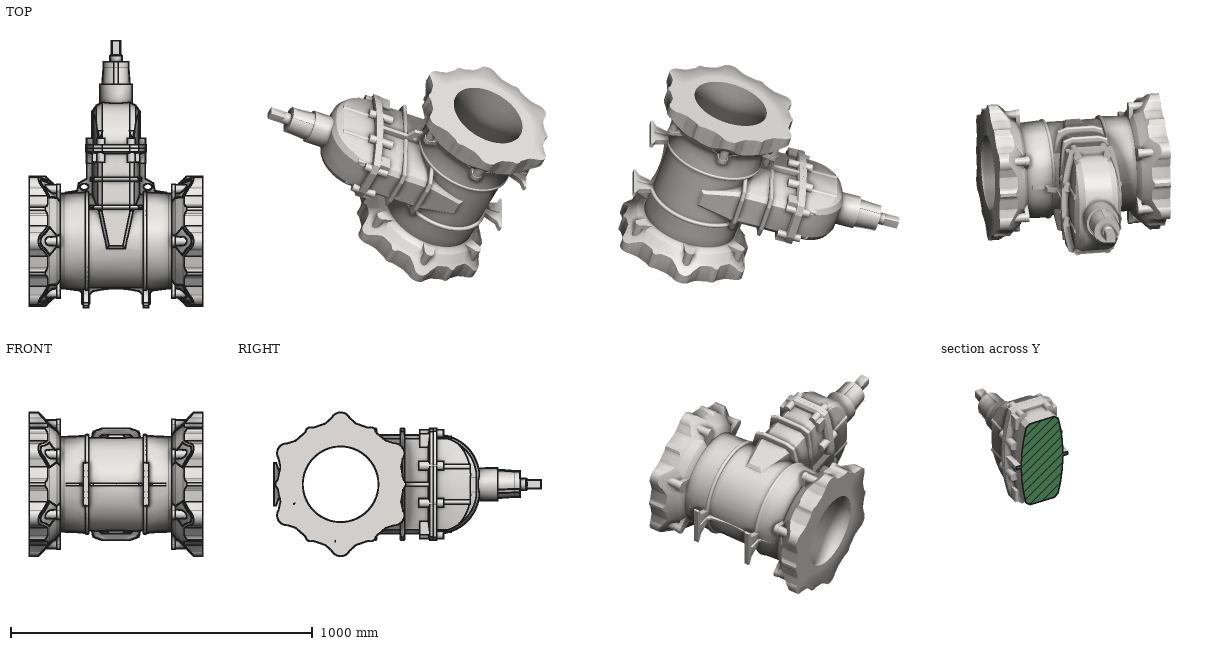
import cadquery as cq
import math


length = 576.0
half_length = length / 2
bore_dia = 250.0
seat_radius = 155.0
bead_radius = 165.5
bead_foot_radius = 161.0
bead_inner_x = 90.0
bead_outer_x = 102.0
barrel_inner_radius = 162.0
barrel_outer_radius = 158.0
barrel_end_x = 173.0

lobe_count = 6
lobe_pitch = 360.0 / lobe_count
first_lobe_angle = 90.0
lobe_tip_radius = 238.53
lobe_flank_radius = 223.0
lobe_flank_angle = 7.5
valley_radius = 208.0
valley_start_angle = 14.0
valley_end_angle = 24.5
bump_foot_radius = 209.5
bump_foot_angle = 26.0
bump_radius = 215.5
bump_edge_angle = 28.5

cone_offset = 19.0
rim_width = 8.0
rim_height = 2.0
ring_inner_x = 184.0
ring_outer_x = 197.0
ring_root_radius = 162.0
stud_circle_radius = 199.0
stud_radius = 14.5
ear_radius = 16.5
ear_foot_half = 22.0
collar_x = 221.0
collar_end_radius = 180.5
pocket_wide_half = 48.0
pocket_narrow_half = 19.0

neck_half_x = 79.0
neck_half_z = 164.0
neck_flat_half = 45.0
neck_corner_x = 61.0
neck_corner_z = 151.0
neck_taper_y = 154.0
neck_bottom_y = 100.0
neck_bottom_half_x = 57.0
tongue_tip_y = -25.0
tongue_tip_half_x = 31.0
tongue_chamfer = 10.0

bead_half_z = 186.0
bead_thickness = 14.0
upper_bead_y = 205.0
upper_bead_half_x = 86.0
lower_bead_y = 112.0
lower_bead_half_x = 99.0
shoulder_x = 75.0
shoulder_drop = 11.0
bead_rounding = 6.0

body_flange_y = 296.0
flange_joint_y = 307.0
bonnet_flange_y = 319.0
flange_half_x = 101.0
flange_step = 0.5

flange_underside_y = 290.0
flange_underside_taper = 60.0

dome_top_y = 460.0
dome_corner_radius = 140.0
dome_bevel_stations = ((45.0, 0.0), (65.0, 10.0), (80.0, 32.0))

tower_radius = 54.0
tower_base_y = 440.0
tower_top_y = 520.0
taper_top_y = 595.0
taper_base_radius = 46.5
taper_top_radius = 42.3
taper_end_y = 576.0
rib_width = 14.0
rib_height = 2.5
rib_count = 3
stem_collar_dia = 40.0
stem_collar_top_y = 618.0
stem_collar_chamfer = 4.0
stem_square = 31.0
stem_top_y = 664.5

bolt_head_radius = 13.0
bolt_head_top_y = 341.0
nut_bottom_y = 262.0
end_bolt = (50.0, 168.0)
side_bolt = (83.0, 61.5)
side_bolt_radius = 15.0
side_nut_bottom_y = 258.5
ridge_radius = 8.5
side_ridge_x = 72.0
side_ridge_z = 58.5
side_ridge_top_y = 430.0
end_ridge_z = 150.0
end_ridge_top_y = 366.0
lug_x = (45.0, 78.0)
lug_z = (123.0, 168.0)

rib_root_y = 140.0
rib_end_x = 168.0
top_rib_thickness = 13.0
top_rib_end_y = 161.0
eye_lug_foot = (129.0, 167.0)
eye_lug_shoulder = (124.0, 192.0)
eye_lug_top_y = 207.0
top_rib_half_x = 97.5
eye_centre = (105.5, 180.0)
eye_size = (28.0, 20.0)
bottom_rib_thickness = 8.5
bottom_rib_end_y = -158.0
bottom_rib_middle_y = -157.0
bottom_rib_arch = (40.0, -160.0)
bottom_rib_arch_end = (76.0, -166.0)
foot_stem_x = (87.0, 114.0)
foot_stem_root_y = (-176.0, -170.0)
foot_stem_fillet_end = (120.0, -164.0)
foot_stem_shoulder_y = -206.0
foot_stem_bottom_y = -212.0
foot_waist = (-204.0, 45.0)
foot_root_half_z = 15.0
foot_y = -221.5
foot_half_z = 71.0
foot_x = (91.0, 108.0)
foot_edge_y = -214.0


def polar(radius, angle_deg):
    angle = math.radians(angle_deg)
    return (radius * math.cos(angle), radius * math.sin(angle))


def lobe_angles():
    return [first_lobe_angle + i * lobe_pitch for i in range(lobe_count)]


def y_cylinder(radius, x, z, y_start, y_end):
    """Cylinder along Y between two levels."""
    return cq.Workplane("XZ", origin=(x, y_start, z)).circle(radius).extrude(y_start - y_end)


def turned_about_x(points):
    """Solid of revolution about the pipe axis from (x, radius) points."""
    return cq.Workplane("XY").polyline(points).close().revolve(360, (0, 0, 0), (1, 0, 0))


def make_barrel():
    """Solid barrel with a rounded bead on each side of the middle."""
    crest_x = (bead_inner_x + bead_outer_x) / 2
    half = (
        cq.Workplane("XY")
        .lineTo(-half_length, 0)
        .lineTo(-half_length, barrel_outer_radius)
        .lineTo(-barrel_end_x, barrel_outer_radius)
        .lineTo(-bead_outer_x, barrel_inner_radius)
        .threePointArc((-crest_x, bead_radius), (-bead_inner_x, bead_foot_radius))
        .lineTo(-bead_inner_x, seat_radius)
        .lineTo(0, seat_radius)
        .close()
        .revolve(360, (0, 0, 0), (1, 0, 0))
    )
    return half.union(half.mirror("YZ"))


def flange_back_cone(offset):
    return turned_about_x([
        (-half_length, 0),
        (-half_length, half_length - offset),
        (-ring_outer_x, ring_outer_x - offset),
        (-ring_outer_x, 0),
    ])


def flange_outline(with_bumps=True):
    """Wavy flange outline: six lobes, with or without a small bump midway between neighbours."""
    first = lobe_angles()[0]
    outline = cq.Workplane("YZ", origin=(-half_length, 0, 0))
    outline = outline.moveTo(*polar(lobe_flank_radius, first - lobe_flank_angle))
    for angle in lobe_angles():
        following = angle + lobe_pitch
        bump = angle + lobe_pitch / 2
        outline = (
            outline
            .threePointArc(polar(lobe_tip_radius, angle), polar(lobe_flank_radius, angle + lobe_flank_angle))
            .lineTo(*polar(valley_radius, angle + valley_start_angle))
        )
        valley_end = polar(valley_radius, following - valley_start_angle)
        if with_bumps:
            outline = (
                outline
                .lineTo(*polar(valley_radius, angle + valley_end_angle))
                .lineTo(*polar(bump_foot_radius, angle + bump_foot_angle))
                .lineTo(*polar(bump_radius, angle + bump_edge_angle))
                .threePointArc(polar(bump_radius, bump), polar(bump_radius, following - bump_edge_angle))
                .lineTo(*polar(bump_foot_radius, following - bump_foot_angle))
                .lineTo(*polar(valley_radius, following - valley_end_angle))
                .lineTo(*valley_end)
            )
        else:
            outline = outline.threePointArc(polar(valley_radius, bump), valley_end)
        outline = outline.lineTo(*polar(lobe_flank_radius, following - lobe_flank_angle))
    return outline.close()


def make_collar_sectors():
    """Raised collar behind the flange, relieved around every stud."""
    collar = turned_about_x([
        (-collar_x, 0),
        (-collar_x, collar_x - cone_offset),
        (-ring_outer_x, collar_end_radius),
        (-ring_outer_x, 0),
    ])
    relief = (
        cq.Workplane("XY", origin=(0, 0, seat_radius))
        .polyline([
            (-collar_x, -pocket_wide_half),
            (-collar_x, pocket_wide_half),
            (-ring_outer_x, pocket_narrow_half),
            (-ring_outer_x, -pocket_narrow_half),
        ])
        .close()
        .extrude(lobe_tip_radius - seat_radius)
    )
    for index in range(lobe_count):
        collar = collar.cut(relief.rotate((0, 0, 0), (1, 0, 0), index * lobe_pitch))
    return collar


def make_end_flange():
    """Flange at the -X end with its back cone, gland ring, studs and ears."""
    plate_depth = half_length - ring_outer_x
    plate = flange_outline().extrude(plate_depth)
    inside_rim = flange_outline(with_bumps=False).offset2D(-rim_width).extrude(plate_depth)
    recess = inside_rim.cut(flange_back_cone(cone_offset + rim_height))
    flange = plate.intersect(flange_back_cone(cone_offset)).cut(recess).union(make_collar_sectors())
    ring_plane = cq.Workplane("YZ", origin=(-ring_outer_x, 0, 0))
    ring_width = ring_outer_x - ring_inner_x
    ring = turned_about_x([
        (-ring_outer_x, 0),
        (-ring_outer_x, collar_end_radius),
        (-ring_inner_x, ring_root_radius),
        (-ring_inner_x, 0),
    ])
    flange = flange.union(ring)
    stud_points = [polar(stud_circle_radius, angle) for angle in lobe_angles()]
    stud_start_x = -(stud_circle_radius + 2 * stud_radius + cone_offset)
    studs = (
        cq.Workplane("YZ", origin=(stud_start_x, 0, 0))
        .pushPoints(stud_points)
        .circle(stud_radius)
        .extrude(-ring_inner_x - stud_start_x)
    )
    flange = flange.union(studs)
    ear = (
        ring_plane.center(0, stud_circle_radius).circle(ear_radius).extrude(ring_width)
        .union(
            ring_plane
            .polyline([
                (-ear_radius, stud_circle_radius),
                (ear_radius, stud_circle_radius),
                (ear_foot_half, barrel_outer_radius),
                (-ear_foot_half, barrel_outer_radius),
            ])
            .close()
            .extrude(ring_width)
        )
    )
    for index in range(lobe_count):
        flange = flange.union(ear.rotate((0, 0, 0), (1, 0, 0), index * lobe_pitch))
    return flange


def shouldered_slab(half_x, half_z, y_start, y_end, taper=0):
    """Slab across Y with sloping shoulders and bowed sides, optionally narrowing toward y_end."""
    shoulder_z = half_z - shoulder_drop
    flat_x = neck_flat_half
    return (
        cq.Workplane("XZ", origin=(0, max(y_start, y_end), 0))
        .moveTo(-flat_x, half_z)
        .lineTo(flat_x, half_z)
        .lineTo(shoulder_x, shoulder_z)
        .threePointArc((half_x, 0), (shoulder_x, -shoulder_z))
        .lineTo(flat_x, -half_z)
        .lineTo(-flat_x, -half_z)
        .lineTo(-shoulder_x, -shoulder_z)
        .threePointArc((-half_x, 0), (-shoulder_x, shoulder_z))
        .close()
        .extrude(abs(y_start - y_end), taper=taper)
    )


def bowed_section(y_start, y_end):
    """Flat front and back, bevelled corners and bowed sides."""
    return (
        cq.Workplane("XZ", origin=(0, y_start, 0))
        .moveTo(-neck_flat_half, neck_half_z)
        .lineTo(neck_flat_half, neck_half_z)
        .lineTo(neck_corner_x, neck_corner_z)
        .threePointArc((neck_half_x, 0), (neck_corner_x, -neck_corner_z))
        .lineTo(neck_flat_half, -neck_half_z)
        .lineTo(-neck_flat_half, -neck_half_z)
        .lineTo(-neck_corner_x, -neck_corner_z)
        .threePointArc((-neck_half_x, 0), (-neck_corner_x, neck_corner_z))
        .close()
        .extrude(y_start - y_end)
    )


def make_neck():
    taper = (
        cq.Workplane("XY", origin=(0, 0, -neck_half_z))
        .polyline([
            (-neck_bottom_half_x, neck_bottom_y),
            (neck_bottom_half_x, neck_bottom_y),
            (neck_half_x, neck_taper_y),
            (neck_half_x, body_flange_y),
            (-neck_half_x, body_flange_y),
            (-neck_half_x, neck_taper_y),
        ])
        .close()
        .extrude(2 * neck_half_z)
    )
    tongue = (
        cq.Workplane("XY", origin=(0, 0, -neck_half_z))
        .polyline([
            (-tongue_tip_half_x, tongue_tip_y),
            (tongue_tip_half_x, tongue_tip_y),
            (neck_bottom_half_x, neck_bottom_y),
            (-neck_bottom_half_x, neck_bottom_y),
        ])
        .close()
        .extrude(2 * neck_half_z)
        .faces("|Z")
        .edges("not >Y")
        .chamfer(tongue_chamfer)
    )
    return bowed_section(neck_bottom_y, body_flange_y).intersect(taper).union(tongue)


def make_neck_bead(half_x, y_centre):
    half = bead_thickness / 2
    slab = shouldered_slab(half_x, bead_half_z, y_centre - half, y_centre + half)
    return slab.faces("|Y").edges().fillet(bead_rounding)


def make_bonnet():
    bonnet = shouldered_slab(flange_half_x, bead_half_z, flange_joint_y, bonnet_flange_y)
    body_flange = shouldered_slab(
        flange_half_x - flange_step, bead_half_z - flange_step, body_flange_y, flange_joint_y
    )
    underside = shouldered_slab(
        flange_half_x - flange_step,
        bead_half_z - flange_step,
        body_flange_y,
        flange_underside_y,
        flange_underside_taper,
    )
    return bonnet.union(body_flange).union(underside).union(make_dome())


def rounded_square(inset):
    side = 2 * (neck_half_z - inset)
    return cq.Sketch().rect(side, side).vertices().fillet(dome_corner_radius - inset)


def make_dome():
    """Bonnet dome: a rounded square plate, bevelled toward its bowed sides."""
    centre_y = dome_top_y - neck_half_z
    flat_half_x = dome_bevel_stations[0][0]
    dome = (
        cq.Workplane("YZ", origin=(-flat_half_x, centre_y, 0))
        .placeSketch(rounded_square(0))
        .extrude(2 * flat_half_x)
    )
    for (near_x, near_inset), (far_x, far_inset) in zip(dome_bevel_stations, dome_bevel_stations[1:]):
        far_outline = rounded_square(far_inset).moved(cq.Location(cq.Vector(0, 0, far_x - near_x)))
        bevel = (
            cq.Workplane("YZ", origin=(near_x, centre_y, 0))
            .placeSketch(rounded_square(near_inset), far_outline)
            .loft()
        )
        dome = dome.union(bevel).union(bevel.mirror("YZ"))
    return dome.intersect(bowed_section(flange_joint_y, dome_top_y))


def make_tower():
    """Stem tower above the bonnet: cylinder, ribbed taper, collar and square."""
    tower = y_cylinder(tower_radius, 0, 0, tower_base_y, tower_top_y)

    def taper(extra):
        return (
            cq.Workplane("XY")
            .polyline([
                (0, tower_top_y),
                (taper_base_radius + extra, tower_top_y),
                (taper_top_radius + extra, taper_end_y),
                (taper_top_radius + extra, taper_top_y),
                (0, taper_top_y),
            ])
            .close()
            .revolve(360, (0, 0, 0), (0, 1, 0))
        )

    rib_slab = cq.Workplane("XY", origin=(0, tower_top_y, 0)).box(
        rib_width, taper_top_y - tower_top_y, tower_radius, centered=(True, False, False)
    )
    ribbed = taper(rib_height)
    tower = tower.union(taper(0))
    for index in range(rib_count):
        slab = rib_slab.rotate((0, 0, 0), (0, 1, 0), index * 360.0 / rib_count)
        tower = tower.union(ribbed.intersect(slab))
    stem_collar = (
        y_cylinder(stem_collar_dia / 2, 0, 0, taper_top_y, stem_collar_top_y)
        .faces(">Y")
        .chamfer(stem_collar_chamfer)
    )
    square = (
        cq.Workplane("XZ", origin=(0, stem_collar_top_y - stem_collar_chamfer, 0))
        .rect(stem_square, stem_square)
        .extrude(stem_collar_top_y - stem_collar_chamfer - stem_top_y)
    )
    rounded_corners = y_cylinder(stem_collar_dia / 2, 0, 0, taper_top_y, stem_top_y)
    return tower.union(stem_collar).union(square.intersect(rounded_corners))


def make_fasteners():
    """Bolts, ridges and lugs in all four quadrants of the bonnet joint."""
    ridges = (
        (end_bolt[0], end_ridge_z, end_ridge_top_y),
        (side_ridge_x, side_ridge_z, side_ridge_top_y),
    )
    quadrant = cq.Workplane("XY").box(
        lug_x[1] - lug_x[0], body_flange_y - nut_bottom_y, lug_z[1] - lug_z[0], centered=False
    ).translate((lug_x[0], nut_bottom_y, lug_z[0]))
    quadrant = quadrant.union(y_cylinder(bolt_head_radius, *end_bolt, nut_bottom_y, bolt_head_top_y))
    quadrant = quadrant.union(
        y_cylinder(side_bolt_radius, *side_bolt, side_nut_bottom_y, bolt_head_top_y)
    )
    for x, z, top_y in ridges:
        quadrant = quadrant.union(y_cylinder(ridge_radius, x, z, bonnet_flange_y, top_y))
    half = quadrant.union(quadrant.mirror("YZ"))
    return half.union(half.mirror("XY"))


def make_top_rib():
    """Rib on both sides of the neck with a lifting eye at each end."""
    rib = (
        cq.Workplane("XY", origin=(0, 0, -top_rib_thickness / 2))
        .polyline([
            (0, rib_root_y),
            (rib_end_x, rib_root_y),
            (rib_end_x, top_rib_end_y),
            eye_lug_foot,
            eye_lug_shoulder,
            (top_rib_half_x, eye_lug_top_y),
            (top_rib_half_x, body_flange_y),
            (0, body_flange_y),
        ])
        .close()
        .extrude(top_rib_thickness)
    )
    eye = (
        cq.Workplane("XY", origin=(*eye_centre, -top_rib_thickness / 2))
        .ellipse(eye_size[0] / 2, eye_size[1] / 2)
        .extrude(top_rib_thickness)
    )
    rib = rib.cut(eye)
    return rib.union(rib.mirror("YZ"))


def make_feet():
    """Rib under the barrel with its two foot plates."""
    rib = (
        cq.Workplane("XY", origin=(0, 0, -bottom_rib_thickness / 2))
        .moveTo(0, -rib_root_y)
        .lineTo(rib_end_x, -rib_root_y)
        .lineTo(rib_end_x, bottom_rib_end_y)
        .lineTo(*foot_stem_fillet_end)
        .lineTo(foot_stem_x[1], foot_stem_root_y[1])
        .lineTo(foot_stem_x[1], foot_stem_shoulder_y)
        .lineTo(foot_x[1], foot_stem_bottom_y)
        .lineTo(foot_x[0], foot_stem_bottom_y)
        .lineTo(foot_stem_x[0], foot_stem_shoulder_y)
        .lineTo(foot_stem_x[0], foot_stem_root_y[0])
        .lineTo(*bottom_rib_arch_end)
        .threePointArc(bottom_rib_arch, (0, bottom_rib_middle_y))
        .close()
        .extrude(bottom_rib_thickness)
    )
    plate = (
        cq.Workplane("YZ", origin=(foot_x[0], 0, 0))
        .polyline([
            (foot_y, -foot_half_z),
            (foot_edge_y, -foot_half_z),
            (foot_waist[0], -foot_waist[1]),
            (-rib_root_y, -foot_root_half_z),
            (-rib_root_y, foot_root_half_z),
            foot_waist,
            (foot_edge_y, foot_half_z),
            (foot_y, foot_half_z),
        ])
        .close()
        .extrude(foot_x[1] - foot_x[0])
    )
    foot = rib.union(plate)
    return foot.union(foot.mirror("YZ"))


valve_body = make_neck().union(make_bonnet()).union(make_tower())
for bead in (
    make_neck_bead(upper_bead_half_x, upper_bead_y),
    make_neck_bead(lower_bead_half_x, lower_bead_y),
):
    valve_body = valve_body.union(bead)
for feature in (make_fasteners(), make_top_rib(), make_feet()):
    valve_body = valve_body.union(feature)

bore = cq.Workplane("YZ", origin=(-half_length, 0, 0)).circle(bore_dia / 2).extrude(length)
end_flange = make_end_flange()
result = make_barrel().union(valve_body).union(end_flange).union(end_flange.mirror("YZ")).cut(bore)